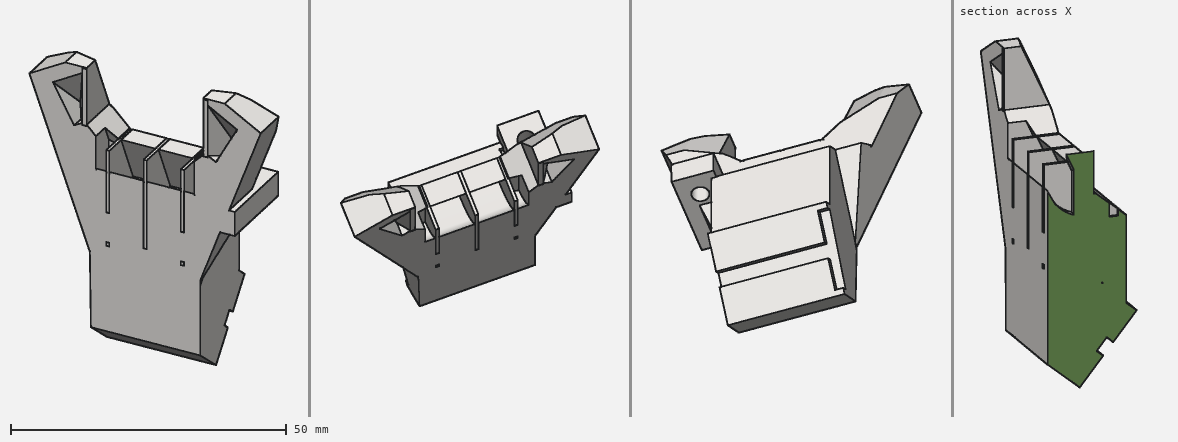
import cadquery as cq
import math

HEIGHT = 58.85
SPAN = 47.5
TILT = 39.5
DEPTH = 17.35

TIP_Z = 54.6
TOP_OUTER_X = 16.35
JAW_X = 11.95
JAW_Z = 47.0
SEAT_Z = 42.85
FLARE_END_X = 11.35
FLARE_END_Z = 20.85
FLANK_FOOT_X = JAW_X - (JAW_Z - SEAT_Z)

ARM_DEPTH = 9.0
BEVEL_FOOT_Z = 50.3
BEVEL_ANGLE = 25.0
BEVEL_CREASE_X = 18.65
BEVEL_SKEW = 13.0
LEDGE_Z = 36.85
LEDGE_Y = 9.4
FLARE_BACK_Y = 12.25

BASE_LEFT = -11.4
BASE_RIGHT = 11.3
BASE_BACK_Y = 15.3
FOOT_Y = 6.25
TAPER = 0.3
TAPER_LENGTH = 16.3

RAIL_HEIGHT = 1.65
RIM_WIDTH = 1.2
SLOT_START = 7.25
SLOT_END = 10.25
LIP_INSET = 1.9

LUG_LEFT = 10.35
LUG_RIGHT = 18.4
LUG_DEPTH = 16.9
LUG_BOTTOM = 31.85
LUG_HOLE_DIAMETER = 3.3
LUG_HOLE_Y = 12.5
NOTCH_LEFT = 9.55
NOTCH_FRONT = 12.05
NOTCH_BACK = 13.65
NOTCH_FLOOR = 32.1

POCKET_HALF_WIDTH = 10.05
POCKET_Z = 38.4
POCKET_LIP = 1.05
POCKET_LIP_Z = 36.5
POCKET_TOP_Y = 4.6
POCKET_LEAN = 25.0
POCKET_FLOOR_Z = 32.95
POCKET_ARC_Z = 33.25
CORNER_OUTER_Y = 5.0
CORNER_INNER_Y = 5.5
RIB_X = 7.65
RIB_WIDTH = 0.65
SIDE_RIB_BOTTOM = 29.85
MIDDLE_RIB_BOTTOM = 24.35
PEG_BOTTOM = 22.9
PEG_TOP = 23.65
INLAY = 0.05

STRIP_X = 12.9
STRIP_BOTTOM = 46.7
STRIP_TOP = 58.55
RECESS_OUTER = (18.9, 54.1)
RECESS_LOW = (14.55, 46.2)
RECESS_DEEP_X = 15.8
RECESS_ANGLE = 30.0
RECESS_DEPTH = 4.7

MARGIN = 2.95

bevel_top_y = ARM_DEPTH - (HEIGHT - BEVEL_FOOT_Z) * math.tan(math.radians(BEVEL_ANGLE))
slope = math.tan(math.radians(TILT))
along = (math.cos(math.radians(90 - TILT)), math.sin(math.radians(90 - TILT)))
inward = (-along[1], along[0])
underside_length = (DEPTH - FOOT_Y) / along[0]


def box(x0, x1, y0, y1, z0, z1):
    return cq.Workplane("XY").box(x1 - x0, y1 - y0, z1 - z0, centered=False).translate((x0, y0, z0))


def prism_yz(points, x0, x1):
    """Extrude a closed YZ outline from x0 to x1."""
    return cq.Workplane("YZ").polyline(points).close().extrude(x1 - x0).translate((x0, 0, 0))


def tilted(distance, height):
    """YZ point at a distance up the underside and a height into the part."""
    return (FOOT_Y + distance * along[0] + height * inward[0],
            distance * along[1] + height * inward[1])


def tilted_block(d0, d1, h0, h1, x0, x1):
    corners = [tilted(d0, h0), tilted(d1, h0), tilted(d1, h1), tilted(d0, h1)]
    return prism_yz(corners, x0, x1)


def mirror_pair(body):
    return body.union(body.mirror("YZ"))


def make_fork():
    half = [(FLANK_FOOT_X, SEAT_Z), (JAW_X, JAW_Z), (JAW_X, HEIGHT), (TOP_OUTER_X, HEIGHT),
            (SPAN / 2, TIP_Z), (FLARE_END_X, FLARE_END_Z), (FLARE_END_X, 0)]
    outline = half + [(-x, z) for x, z in reversed(half)]
    front = cq.Workplane("XZ").polyline(outline).close().extrude(-DEPTH)
    flare_top_z = LEDGE_Z - (FLARE_BACK_Y - LEDGE_Y) * slope
    profile = [(0, HEIGHT), (bevel_top_y, HEIGHT), (ARM_DEPTH, BEVEL_FOOT_Z),
               (ARM_DEPTH, LEDGE_Z), (LEDGE_Y, LEDGE_Z), (FLARE_BACK_Y, flare_top_z),
               (0, flare_top_z - FLARE_BACK_Y / slope)]
    return front.intersect(prism_yz(profile, -SPAN / 2, SPAN / 2))


def make_inner_bevel():
    """Wedge behind the right arm tip, swept along the crease of the bevel."""
    angle = math.radians(BEVEL_ANGLE)
    crease = cq.Plane(origin=(BEVEL_CREASE_X, bevel_top_y, HEIGHT), xDir=(1, 0, 0),
                      normal=(0, -math.sin(angle), math.cos(angle)))
    width = BEVEL_CREASE_X - FLANK_FOOT_X
    drop = width * math.tan(math.radians(BEVEL_SKEW))
    return (cq.Workplane(crease).polyline([(0, 0), (-width, -drop), (-width, MARGIN), (0, MARGIN)])
            .close().extrude(DEPTH, both=True))


def make_base():
    rear_rise = LEDGE_Z - (BASE_BACK_Y - LEDGE_Y) * slope
    rim_height = (DEPTH - BASE_BACK_Y) / along[1]
    outline = [(0, FOOT_Y * slope), (FOOT_Y, 0), tilted(underside_length, 0),
               tilted(underside_length, rim_height), (BASE_BACK_Y, rear_rise),
               (LEDGE_Y, LEDGE_Z), (0, LEDGE_Z)]
    base = prism_yz(outline, BASE_LEFT, BASE_RIGHT)
    slot = tilted_block(SLOT_START, SLOT_END, -MARGIN, RAIL_HEIGHT, BASE_LEFT, BASE_RIGHT)
    inset = tilted_block(RIM_WIDTH, underside_length - RIM_WIDTH, -MARGIN, RAIL_HEIGHT,
                         BASE_LEFT, BASE_LEFT + LIP_INSET)
    return base.cut(slot).cut(inset).cut(make_taper())


def make_taper():
    """Thin wedge that leans the left wall in towards the foot."""
    foot = cq.Plane(origin=(BASE_LEFT, FOOT_Y, 0), xDir=(1, 0, 0), normal=(0, inward[0], inward[1]))
    return (cq.Workplane(foot).polyline([(0, 0), (TAPER, 0), (0, TAPER_LENGTH)])
            .close().extrude(2 * DEPTH, both=True))


def make_lug():
    return box(LUG_LEFT, LUG_RIGHT, 0, LUG_DEPTH, LUG_BOTTOM, LEDGE_Z)


def make_lug_hole():
    hole_x = (LUG_LEFT + LUG_RIGHT) / 2
    return (cq.Workplane("XY").center(hole_x, LUG_HOLE_Y)
            .circle(LUG_HOLE_DIAMETER / 2).extrude(LEDGE_Z))


def make_pocket():
    """Undercut pocket in front of the seat, leaving the three ribs standing."""
    lean = math.tan(math.radians(POCKET_LEAN))
    back_y = POCKET_TOP_Y + (SEAT_Z - POCKET_FLOOR_Z) * lean
    top_z = JAW_Z
    top_y = POCKET_TOP_Y - (top_z - SEAT_Z) * lean
    pocket = (cq.Workplane("YZ").moveTo(0, POCKET_Z).lineTo(POCKET_LIP, POCKET_LIP_Z)
              .threePointArc(((POCKET_LIP + back_y) / 2, POCKET_ARC_Z), (back_y, POCKET_FLOOR_Z))
              .lineTo(top_y, top_z).lineTo(0, top_z).close()
              .extrude(POCKET_HALF_WIDTH, both=True))
    for x in (-RIB_X, 0, RIB_X):
        pocket = pocket.cut(box(x - RIB_WIDTH / 2, x + RIB_WIDTH / 2, 0, DEPTH, 0, SEAT_Z))
    corner = (cq.Workplane("XY")
              .polyline([(RIB_X, CORNER_INNER_Y), (POCKET_HALF_WIDTH, CORNER_OUTER_Y),
                         (POCKET_HALF_WIDTH, DEPTH), (RIB_X, DEPTH)])
              .close().extrude(SEAT_Z))
    return pocket.cut(mirror_pair(corner))


def front_inlay(x0, x1, z0, z1):
    return box(x0, x1, 0, INLAY, z0, z1)


def make_inlays():
    """Shallow steps that outline the ribs, the pegs below them and the jaw strips."""
    inlays = front_inlay(JAW_X, STRIP_X, STRIP_BOTTOM, STRIP_TOP)
    inlays = mirror_pair(inlays)
    for x, bottom in ((-RIB_X, SIDE_RIB_BOTTOM), (0, MIDDLE_RIB_BOTTOM), (RIB_X, SIDE_RIB_BOTTOM)):
        left = x - RIB_WIDTH / 2
        right = x + RIB_WIDTH / 2
        inlays = inlays.union(front_inlay(left, right, bottom, SEAT_Z))
        inlays = inlays.union(box(left, right, 0, ARM_DEPTH, SEAT_Z - INLAY, SEAT_Z))
        if x:
            inlays = inlays.union(front_inlay(left, right, PEG_BOTTOM, PEG_TOP))
    return inlays


def make_recess():
    """Recess in the right arm; its floor falls from the top edge and the jaw strip to a deep corner."""
    rise = math.tan(math.radians(RECESS_ANGLE))
    outer = cq.Vector(RECESS_OUTER[0], 0, RECESS_OUTER[1])
    upper = cq.Vector(STRIP_X, 0, RECESS_OUTER[1] + (RECESS_OUTER[0] - STRIP_X) * rise)
    low = cq.Vector(RECESS_LOW[0], 0, RECESS_LOW[1])
    inner = cq.Vector(STRIP_X, 0, RECESS_LOW[1] + (RECESS_LOW[0] - STRIP_X) * rise)
    deep_share = (RECESS_OUTER[0] - RECESS_DEEP_X) / (RECESS_OUTER[0] - RECESS_LOW[0])
    deep = outer + (low - outer) * deep_share + cq.Vector(0, RECESS_DEPTH, 0)
    low_depth = RECESS_DEPTH * (low.x - STRIP_X) / (deep.x - STRIP_X)
    low_back = low + cq.Vector(0, low_depth, 0)
    loops = [[outer, upper, inner, low], [outer, upper, deep], [upper, inner, low_back, deep],
             [inner, low, low_back], [outer, deep, low_back, low]]
    faces = [cq.Face.makeFromWires(cq.Wire.makePolygon(loop, close=True)) for loop in loops]
    return cq.Workplane(cq.Solid.makeSolid(cq.Shell.makeShell(faces)))


result = make_fork().cut(mirror_pair(make_inner_bevel())).union(make_base()).union(make_lug())
result = result.cut(make_lug_hole())
result = result.cut(box(NOTCH_LEFT, LUG_LEFT, NOTCH_FRONT, NOTCH_BACK, NOTCH_FLOOR, LEDGE_Z))
result = result.cut(make_pocket()).cut(make_inlays())
result = result.cut(mirror_pair(make_recess()))